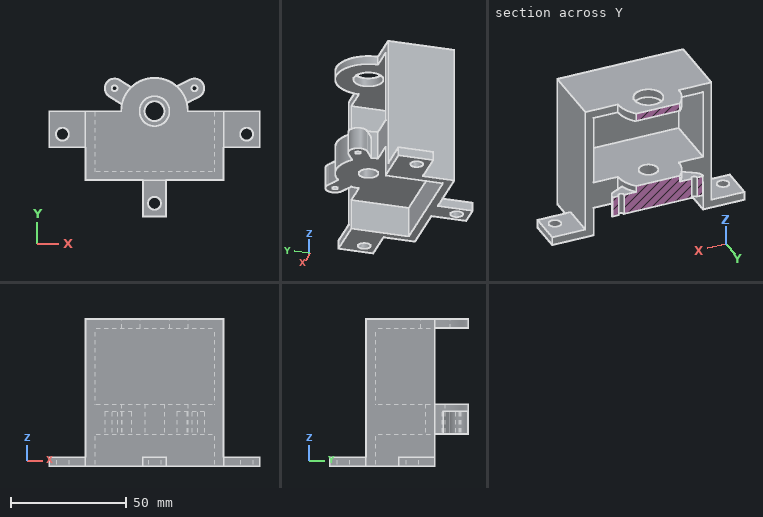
import cadquery as cq
import math

BODY_WIDTH = 60.0
BODY_DEPTH = 30.0
BODY_HEIGHT = 64.0
WALL = 4.0

TONGUE_RADIUS = 14.5
TOP_HOLE_DIAMETER = 13.0

SHELF_BOTTOM = 14.0
SHELF_THICKNESS = 13.0
SHELF_TOP = SHELF_BOTTOM + SHELF_THICKNESS
SHELF_HOLE_DIAMETER = 8.5

LUG_HEIGHT = 10.0
LUG_RADIUS = 4.25
LUG_HOLE_X = 17.35
LUG_HOLE_Y = 9.95
LEFT_LUG_ANGLE = 32.5
LEFT_LUG_HOLE_DIAMETER = 2.4
RIGHT_LUG_ANGLE = 26.5
RIGHT_LUG_HOLE_DIAMETER = 2.5

FOOT_THICKNESS = 4.0
FOOT_LENGTH = 15.75
FOOT_HOLE_OFFSET = 10.0
FOOT_HOLE_DIAMETER = 5.5
SIDE_FOOT_WIDTH = FOOT_LENGTH
SIDE_FOOT_HOLE_Y = -10.0
FRONT_FOOT_WIDTH = 10.0


def block(x_min, x_max, y_min, y_max, z_min, z_max):
    """Axis-aligned box between the given limits."""
    size = (x_max - x_min, y_max - y_min, z_max - z_min)
    return cq.Workplane("XY").box(*size, centered=False).translate((x_min, y_min, z_min))


def cylinder(diameter, x, y, z_min, z_max):
    """Vertical cylinder on the axis (x, y)."""
    return cq.Workplane("XY", origin=(x, y, z_min)).circle(diameter / 2).extrude(z_max - z_min)


def tongue(z_min, z_max):
    """Half disc standing out from the back of the housing."""
    disc = cylinder(2 * TONGUE_RADIUS, 0, 0, z_min, z_max)
    back_half = block(-TONGUE_RADIUS, TONGUE_RADIUS, 0, TONGUE_RADIUS, z_min, z_max)
    return disc.intersect(back_half)


def housing():
    """Box open at the back above the shelf, and open at the back and bottom below it."""
    half_width = BODY_WIDTH / 2
    inner_half_width = half_width - WALL
    inner_front = WALL - BODY_DEPTH
    top_plate_bottom = BODY_HEIGHT - WALL

    body = block(-half_width, half_width, -BODY_DEPTH, 0, 0, BODY_HEIGHT)
    for z_min, z_max in ((0, SHELF_BOTTOM), (SHELF_TOP, top_plate_bottom)):
        body = body.cut(block(-inner_half_width, inner_half_width, inner_front, 0, z_min, z_max))

    body = body.union(tongue(top_plate_bottom, BODY_HEIGHT))
    return body.union(tongue(SHELF_BOTTOM, SHELF_TOP))


def lug(side, angle):
    """Round-ended arm whose inner end is buried in the shelf tongue; side is -1 (left) or 1."""
    hole_x = side * LUG_HOLE_X
    reach = math.hypot(LUG_HOLE_X, LUG_HOLE_Y) - TONGUE_RADIUS / 2
    arm = (
        cq.Workplane("XY", origin=(hole_x, LUG_HOLE_Y, SHELF_BOTTOM))
        .rect(reach, 2 * LUG_RADIUS)
        .extrude(LUG_HEIGHT)
        .translate((-side * reach / 2, 0, 0))
        .rotate((hole_x, LUG_HOLE_Y, 0), (hole_x, LUG_HOLE_Y, 1), side * angle)
    )
    lug_top = SHELF_BOTTOM + LUG_HEIGHT
    return arm.union(cylinder(2 * LUG_RADIUS, hole_x, LUG_HOLE_Y, SHELF_BOTTOM, lug_top))


def feet():
    """Two feet on the sides, flush with the back, and one at the middle of the front."""
    outer_x = BODY_WIDTH / 2 + FOOT_LENGTH
    outer_y = -BODY_DEPTH - FOOT_LENGTH
    half_front = FRONT_FOOT_WIDTH / 2
    left = block(-outer_x, -BODY_WIDTH / 2, -SIDE_FOOT_WIDTH, 0, 0, FOOT_THICKNESS)
    right = block(BODY_WIDTH / 2, outer_x, -SIDE_FOOT_WIDTH, 0, 0, FOOT_THICKNESS)
    front = block(-half_front, half_front, outer_y, -BODY_DEPTH, 0, FOOT_THICKNESS)
    return left, right, front


def holes():
    """Cutters for all the vertical holes."""
    foot_hole_x = BODY_WIDTH / 2 + FOOT_HOLE_OFFSET
    foot_hole_centers = (
        (-foot_hole_x, SIDE_FOOT_HOLE_Y),
        (foot_hole_x, SIDE_FOOT_HOLE_Y),
        (0, -BODY_DEPTH - FOOT_HOLE_OFFSET),
    )
    cutters = [cylinder(FOOT_HOLE_DIAMETER, x, y, 0, FOOT_THICKNESS) for x, y in foot_hole_centers]
    cutters.append(cylinder(TOP_HOLE_DIAMETER, 0, 0, SHELF_TOP, BODY_HEIGHT))
    cutters.append(cylinder(SHELF_HOLE_DIAMETER, 0, 0, SHELF_BOTTOM, SHELF_TOP))
    cutters.append(cylinder(LEFT_LUG_HOLE_DIAMETER, -LUG_HOLE_X, LUG_HOLE_Y, SHELF_BOTTOM, SHELF_TOP))
    cutters.append(cylinder(RIGHT_LUG_HOLE_DIAMETER, LUG_HOLE_X, LUG_HOLE_Y, SHELF_BOTTOM, SHELF_TOP))
    return cutters


result = housing()
for addition in (lug(-1, LEFT_LUG_ANGLE), lug(1, RIGHT_LUG_ANGLE), *feet()):
    result = result.union(addition)
for cutter in holes():
    result = result.cut(cutter)